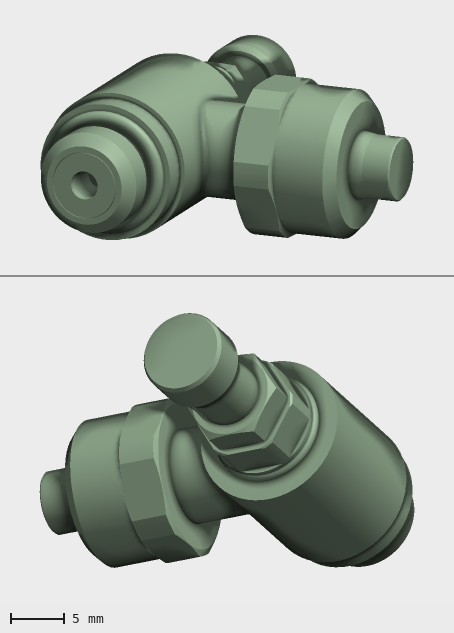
import cadquery as cq
import math


sleeve_dia = 14.0
sleeve_back = 6.05
sleeve_front = -9.07
bore_dia = 9.85

branch_dia = 9.0
branch_fillet = 0.45
union_start = 10.95
union_hex_end = 14.95
union_hex_flats = 14.0
union_hex_circle = 15.0
union_hex_chamfer_length = 0.25
union_hex_chamfer_depth = 0.6
union_end = 20.95
union_dia = 14.0
union_chamfer = 1.0
tail_dia = 6.0
tail_root_dia = 6.45
tail_taper_end = 22.3
tail_end = 25.0
tail_chamfer = 0.13

thread_end = -16.55
thread_dia = 9.6
thread_chamfer = 1.05
thread_start = -13.05
neck_dia = 8.3
neck_front = thread_start + (thread_dia - neck_dia) / 2
flange_dia = 13.0
flange_front = -11.45
flange_gap = 0.13
flange_back = sleeve_front - flange_gap
end_hole_dia = 2.7
end_hole_depth = 4.2
face_groove_dia = 6.35
face_groove_width = 0.065
face_groove_depth = 0.2

front_ring_radius = 5.25
front_ring_section = 0.65
snap_ring_dia = 10.6
snap_ring_section = 0.55
snap_ring_gap = 0.5

collar_dia = bore_dia
collar_back = 7.7
body_hex_back = 11.65
body_hex_flats = 9.0
body_hex_chamfer = 0.15
nut_back = 14.7
nut_flats = 8.0
nut_chamfer_length = 0.38
nut_chamfer_depth = 0.7
spindle_dia = 6.0
knob_dia = 8.0
knob_front = 20.9
knob_back = 25.45
knob_front_chamfer = 0.5
knob_back_chamfer_length = 0.4
knob_back_chamfer_depth = 0.25


def rod_x(diameter, start, end):
    """Round rod along X."""
    return cq.Workplane("YZ", origin=(start, 0, 0)).circle(diameter / 2).extrude(end - start)


def rod_y(diameter, start, end):
    """Round rod along Y; the XZ plane faces -Y, so it grows from the far end."""
    return cq.Workplane("XZ", origin=(0, end, 0)).circle(diameter / 2).extrude(end - start)


def hexagon(workplane, flats, length):
    """Hexagonal prism with two corners on the local x axis of the workplane."""
    return workplane.polygon(6, flats / math.cos(math.pi / 6)).extrude(length)


def ring_y(center_radius, section_radius, y):
    """Round-section ring about the Y axis, cut flat on its inner side."""
    corner = section_radius / math.sqrt(2)
    profile = (
        cq.Workplane("XY")
        .moveTo(center_radius - corner, y - corner)
        .threePointArc((center_radius + section_radius, y), (center_radius - corner, y + corner))
        .close()
    )
    return profile.revolve(360, (0, 0), (0, 1))


def snap_ring():
    """Split ring behind the sleeve, with its gap on the +Z side."""
    center_radius = snap_ring_dia / 2 - snap_ring_section
    center_y = sleeve_back + snap_ring_section
    ring = ring_y(center_radius, snap_ring_section, center_y)
    gap = cq.Workplane("XY", origin=(0, center_y, 0)).rect(snap_ring_gap, 2 * snap_ring_section)
    return ring.cut(gap.extrude(snap_ring_dia))


def union_hex():
    """Hexagon with its corners turned to a circle and both ends chamfered."""
    length = union_hex_end - union_start
    prism = hexagon(cq.Workplane("YZ", origin=(union_start, 0, 0)), union_hex_flats, length)
    envelope = rod_x(union_hex_circle, union_start, union_hex_end)
    for end_face in ("<X", ">X"):
        envelope = envelope.faces(end_face).edges().chamfer(union_hex_chamfer_length, union_hex_chamfer_depth)
    return prism.intersect(envelope)


def hose_tail():
    """Stub at the branch end, tapering to its final diameter."""
    profile = [
        (union_end, 0),
        (union_end, tail_root_dia / 2),
        (tail_taper_end, tail_dia / 2),
        (tail_end - tail_chamfer, tail_dia / 2),
        (tail_end, tail_dia / 2 - tail_chamfer),
        (tail_end, 0),
    ]
    return cq.Workplane("XY").polyline(profile).close().revolve(360, (0, 0), (1, 0))


def make_housing():
    """Sleeve with its branch, union and tail, bored for the valve screw."""
    sleeve = rod_y(sleeve_dia, sleeve_front, sleeve_back)
    body = sleeve.union(rod_x(branch_dia, 0, union_start))
    junction_box = cq.selectors.BoxSelector(
        (0.4, -sleeve_dia / 2, -sleeve_dia / 2),
        (union_start - 0.4, sleeve_back - 0.4, sleeve_dia / 2),
    )
    body = body.edges("not(%CIRCLE or %LINE)").edges(junction_box).fillet(branch_fillet)
    union_collar = rod_x(union_dia, union_hex_end, union_end).faces(">X").chamfer(union_chamfer)
    body = body.union(union_hex()).union(union_collar).union(hose_tail())
    return body.cut(rod_y(bore_dia, sleeve_front, sleeve_back))


def threaded_end():
    """Flange, sealing ring, neck and threaded end with its hole."""
    flange = rod_y(flange_dia, flange_front, flange_back)
    ring = ring_y(front_ring_radius, front_ring_section, flange_front)
    thread_profile = [
        (0, thread_end),
        (thread_dia / 2 - thread_chamfer, thread_end),
        (thread_dia / 2, thread_end + thread_chamfer),
        (thread_dia / 2, thread_start),
        (neck_dia / 2, neck_front),
        (0, neck_front),
    ]
    thread = cq.Workplane("XY").polyline(thread_profile).close().revolve(360, (0, 0), (0, 1))
    neck = rod_y(neck_dia, neck_front, flange_front)
    hole = rod_y(end_hole_dia, thread_end, thread_end + end_hole_depth)
    face_groove = rod_y(face_groove_dia, thread_end, thread_end + face_groove_depth).cut(
        rod_y(face_groove_dia - 2 * face_groove_width, thread_end, thread_end + face_groove_depth)
    )
    return flange.union(ring).union(neck).union(thread).cut(hole).cut(face_groove)


def body_hex():
    """Hexagon with its corners turned to the collar diameter."""
    length = body_hex_back - collar_back
    prism = hexagon(cq.Workplane("XZ", origin=(0, body_hex_back, 0)), body_hex_flats, length)
    envelope = rod_y(collar_dia, collar_back, body_hex_back).faces(">Y").chamfer(body_hex_chamfer)
    return prism.intersect(envelope)


def lock_nut():
    """Hexagon with corners chamfered at both ends."""
    length = nut_back - body_hex_back
    prism = hexagon(cq.Workplane("XZ", origin=(0, nut_back, 0)), nut_flats, length)
    corner_dia = nut_flats / math.cos(math.pi / 6)
    envelope = rod_y(corner_dia, body_hex_back, nut_back)
    for end_face in ("<Y", ">Y"):
        envelope = envelope.faces(end_face).edges().chamfer(nut_chamfer_length, nut_chamfer_depth)
    return prism.intersect(envelope)


def adjusting_knob():
    """Round knob chamfered at both ends."""
    knob = rod_y(knob_dia, knob_front, knob_back)
    knob = knob.faces("<Y").chamfer(knob_front_chamfer)
    return knob.faces(">Y").edges().chamfer(knob_back_chamfer_length, knob_back_chamfer_depth)


def make_valve_screw():
    """Screw filling the bore, from the threaded end to the knob."""
    shank = rod_y(bore_dia, flange_back, collar_back)
    spindle = rod_y(spindle_dia, nut_back, knob_front)
    screw = threaded_end().union(snap_ring()).union(shank)
    return screw.union(body_hex()).union(lock_nut()).union(spindle).union(adjusting_knob())


housing = make_housing()
valve_screw = make_valve_screw()

result = cq.Compound.makeCompound([housing.val(), valve_screw.val()])